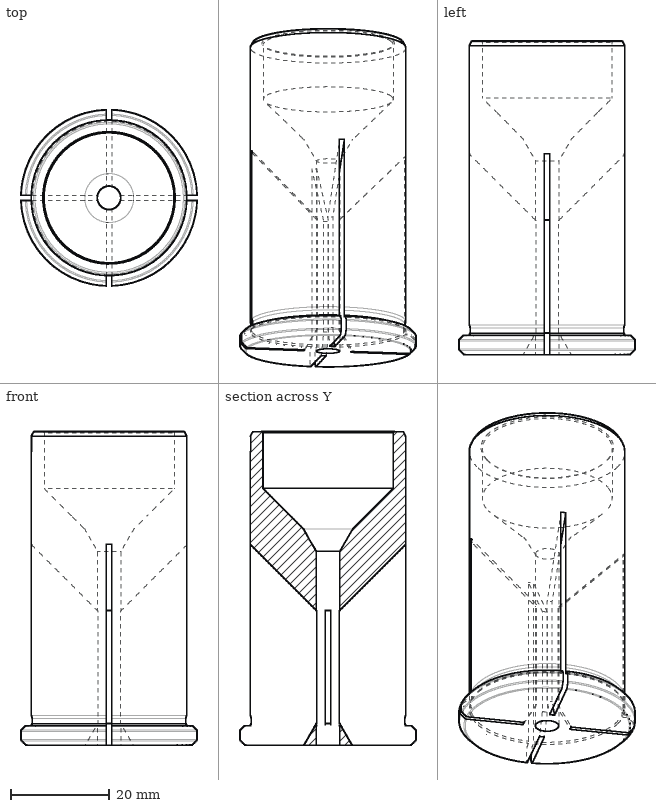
import cadquery as cq
import math

height = 64.0
body_radius = 15.9
rim_chamfer_height = 0.95
rim_chamfer_width = 0.5
rim_round = 0.4
mouth_chamfer = 0.25

flange_radius = 18.0
flange_height = 4.0
flange_top_chamfer = 0.95
flange_bottom_chamfer = 1.1
flange_round = 0.4
relief_radius = 15.7
relief_bottom = 4.4
relief_top = 5.5
body_bottom = 6.15

cup_radius = 13.25
throat_radius = 5.0
hole_radius = 2.4
floor_edge = 52.35
floor_bottom = floor_edge - (cup_radius - throat_radius)
throat_depth = 4.55
throat_bottom = floor_bottom - throat_depth

slot_count = 4
slot_width = 1.0
slot_top = 40.95
slot_inner_top = slot_top - (body_radius - hole_radius)
slot_inner_bottom = 4.5
slot_floor_angle = 60
slot_floor_run = slot_inner_bottom / math.tan(math.radians(slot_floor_angle))
slot_floor_foot = hole_radius + slot_floor_run
slot_reach = flange_radius + 0.65

edge_tolerance = 0.005


def round_circle(solid, radius, z, rounding):
    """Round the circular edge of the given radius and height."""
    edges = [
        edge
        for edge in solid.edges("%CIRCLE").vals()
        if math.isclose(edge.radius(), radius, abs_tol=edge_tolerance)
        and math.isclose(edge.Center().z, z, abs_tol=edge_tolerance)
    ]
    return solid.newObject(edges).fillet(rounding)


def sleeve():
    """Revolve the outside: flange, relief groove and plain body."""
    outline = [
        (0, 0),
        (flange_radius - flange_bottom_chamfer, 0),
        (flange_radius, flange_bottom_chamfer),
        (flange_radius, flange_height - flange_top_chamfer),
        (flange_radius - flange_top_chamfer, flange_height),
        (body_radius, flange_height),
        (relief_radius, relief_bottom),
        (relief_radius, relief_top),
        (body_radius, body_bottom),
        (body_radius, height - rim_chamfer_height),
        (body_radius - rim_chamfer_width, height),
        (0, height),
    ]
    solid = cq.Workplane("XZ").polyline(outline).close().revolve(360, (0, 0, 0), (0, 1, 0))
    flange_edges = [
        (flange_radius - flange_bottom_chamfer, 0),
        (flange_radius, flange_bottom_chamfer),
        (flange_radius, flange_height - flange_top_chamfer),
        (flange_radius - flange_top_chamfer, flange_height),
    ]
    for radius, z in flange_edges:
        solid = round_circle(solid, radius, z, flange_round)
    return round_circle(solid, body_radius - rim_chamfer_width, height, rim_round)


def cup():
    """Return the revolved space of the cup and the through hole."""
    outline = [
        (0, 0),
        (hole_radius, 0),
        (hole_radius, throat_bottom),
        (throat_radius, floor_bottom),
        (cup_radius, floor_edge),
        (cup_radius, height - mouth_chamfer),
        (cup_radius + mouth_chamfer, height),
        (0, height),
    ]
    return cq.Workplane("XZ").polyline(outline).close().revolve(360, (0, 0, 0), (0, 1, 0))


def slot():
    """Return one slot with a roof falling and a floor rising towards the hole."""
    outline = [
        (0, slot_inner_bottom),
        (hole_radius, slot_inner_bottom),
        (slot_floor_foot, 0),
        (slot_reach, 0),
        (slot_reach, slot_top),
        (body_radius, slot_top),
        (hole_radius, slot_inner_top),
        (0, slot_inner_top),
    ]
    return cq.Workplane("XZ").polyline(outline).close().extrude(slot_width / 2, both=True)


result = sleeve().cut(cup())
for index in range(slot_count):
    result = result.cut(slot().rotate((0, 0, 0), (0, 0, 1), index * 360 / slot_count))